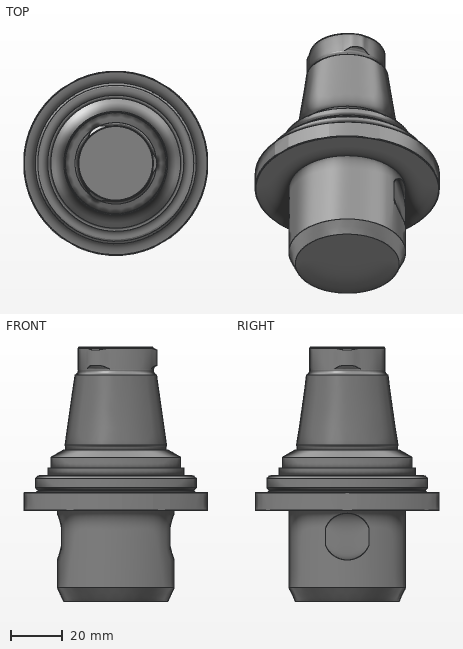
import cadquery as cq
import math

shank_radius = 45 / 2
shank_end_radius = 20.0
shank_cone_angle = 25
shank_cone_height = (shank_radius - shank_end_radius) / math.tan(math.radians(shank_cone_angle))

recess_diameter = 18.0
recess_height = 25.0
recess_floor_x = 20.9

flange_radius = 71 / 2
flange_bottom = 35.0
flange_top = 42.0
flange_edge_chamfer = 0.3
wide_flat_distance = 70.6 / 2
wide_flat_angles = range(0, 360, 60)
narrow_flat_distance = 70.82 / 2
narrow_flat_angles = [90, 270]

groove_radius = 60.1 / 2
ring_radius = 62 / 2
ring_chamfer = ring_radius - groove_radius
ring_bottom = 42.9
ring_top = 48.45
ring_top_bevel_width = 0.6
ring_top_bevel_height = 0.15
groove_foot_chamfer = 0.6

lower_step_radius = 52.4 / 2
lower_step_top = 51.5
upper_step_radius = 50 / 2
upper_step_top = 55.5
shoulder_cone_top = 58.4

shoulder_cone_radius = 20.0
relief_radius = 19.3
relief_top = 59.4
taper_bottom = 60.2
taper_bottom_radius = 19.55
taper_top_radius = 15.7

neck_height = 89.05
neck_radius = 2.0
neck_ring_radius = 16.45
taper_top = neck_height - math.sqrt(neck_radius**2 - (neck_ring_radius - taper_top_radius) ** 2)

total_height = 98.0
head_radius = 14.5
head_chamfer_width = 0.3
head_chamfer_height = 0.5
lobe_count = 3
lobe_tip_distance = 15.9
lobe_radius = 5.0
lobe_flank_radius = 10.0
lobe_top_angle = 25
lobe_envelope_margin = 1.0


def make_body():
    """Revolve the whole round profile around Z."""
    profile = (
        cq.Workplane("XZ")
        .moveTo(0, 0)
        .lineTo(shank_end_radius, 0)
        .lineTo(shank_radius, shank_cone_height)
        .lineTo(shank_radius, flange_bottom)
        .lineTo(flange_radius - flange_edge_chamfer, flange_bottom)
        .lineTo(flange_radius, flange_bottom + flange_edge_chamfer)
        .lineTo(flange_radius, flange_top - flange_edge_chamfer)
        .lineTo(flange_radius - flange_edge_chamfer, flange_top)
        .lineTo(groove_radius + groove_foot_chamfer, flange_top)
        .lineTo(groove_radius, flange_top + groove_foot_chamfer)
        .lineTo(groove_radius, ring_bottom)
        .lineTo(ring_radius, ring_bottom + ring_chamfer)
        .lineTo(ring_radius, ring_top - ring_top_bevel_height - ring_chamfer)
        .lineTo(ring_radius - ring_chamfer, ring_top - ring_top_bevel_height)
        .lineTo(ring_radius - ring_chamfer - ring_top_bevel_width, ring_top)
        .lineTo(lower_step_radius, ring_top)
        .lineTo(lower_step_radius, lower_step_top)
        .lineTo(upper_step_radius, lower_step_top)
        .lineTo(upper_step_radius, upper_step_top)
        .lineTo(shoulder_cone_radius, shoulder_cone_top)
        .lineTo(relief_radius, shoulder_cone_top)
        .lineTo(relief_radius, relief_top)
        .lineTo(taper_bottom_radius, taper_bottom)
        .lineTo(taper_top_radius, taper_top)
        .lineTo(taper_top_radius, neck_height)
        .lineTo(head_radius, neck_height)
        .lineTo(head_radius, total_height - head_chamfer_height)
        .lineTo(head_radius - head_chamfer_width, total_height)
        .lineTo(0, total_height)
        .close()
    )
    return profile.revolve(360, (0, 0, 0), (0, 1, 0))


def make_lobe_prism():
    """Plan of the +X lobe: a round tip running into the head through concave flanks."""
    tip_center = lobe_tip_distance - lobe_radius
    head_to_flank = head_radius + lobe_flank_radius
    tip_to_flank = lobe_radius + lobe_flank_radius
    flank_angle = math.acos(
        (head_to_flank**2 + tip_center**2 - tip_to_flank**2) / (2 * head_to_flank * tip_center)
    )
    flank_x = head_to_flank * math.cos(flank_angle)
    flank_y = head_to_flank * math.sin(flank_angle)
    root_x = head_radius * math.cos(flank_angle)
    root_y = head_radius * math.sin(flank_angle)
    blend_x = tip_center + (flank_x - tip_center) * lobe_radius / tip_to_flank
    blend_y = flank_y * lobe_radius / tip_to_flank

    to_chord_x = (root_x + blend_x) / 2 - flank_x
    to_chord_y = (root_y + blend_y) / 2 - flank_y
    stretch = lobe_flank_radius / math.hypot(to_chord_x, to_chord_y)
    flank_mid_x = flank_x + to_chord_x * stretch
    flank_mid_y = flank_y + to_chord_y * stretch

    return (
        cq.Workplane("XY")
        .workplane(offset=neck_height)
        .moveTo(0, 0)
        .lineTo(root_x, -root_y)
        .threePointArc((flank_mid_x, -flank_mid_y), (blend_x, -blend_y))
        .threePointArc((lobe_tip_distance, 0), (blend_x, blend_y))
        .threePointArc((flank_mid_x, flank_mid_y), (root_x, root_y))
        .close()
        .extrude(total_height - neck_height)
    )


def make_lobe_envelope():
    """Solid of revolution whose top cone bevels the lobes."""
    rim_radius = lobe_tip_distance + lobe_envelope_margin
    bevel_top = total_height - head_chamfer_height
    bevel_drop = (rim_radius - head_radius) * math.tan(math.radians(lobe_top_angle))
    profile = (
        cq.Workplane("XZ")
        .moveTo(0, neck_height)
        .lineTo(rim_radius, neck_height)
        .lineTo(rim_radius, bevel_top - bevel_drop)
        .lineTo(head_radius, bevel_top)
        .lineTo(0, bevel_top)
        .close()
    )
    return profile.revolve(360, (0, 0, 0), (0, 1, 0))


def add_lobes(part):
    lobe = make_lobe_prism().intersect(make_lobe_envelope())
    for index in range(lobe_count):
        part = part.union(lobe.rotate((0, 0, 0), (0, 0, 1), index * 360 / lobe_count))
    return part


def cut_neck(part):
    """Cut the round groove that undercuts the lobes and meets the taper edge."""
    ring = (
        cq.Workplane("XZ")
        .center(neck_ring_radius, neck_height)
        .circle(neck_radius)
        .revolve(360, (-neck_ring_radius, 0, 0), (-neck_ring_radius, 1, 0))
    )
    return part.cut(ring)


def cut_rim_flat(part, distance, angle):
    cutter = (
        cq.Workplane("XY")
        .workplane(offset=flange_bottom)
        .center(distance + flange_radius / 2, 0)
        .rect(flange_radius, flange_radius)
        .extrude(flange_top - flange_bottom)
        .rotate((0, 0, 0), (0, 0, 1), angle)
    )
    return part.cut(cutter)


def cut_recesses(part):
    for side in (1, -1):
        cutter = (
            cq.Workplane("YZ", origin=(side * recess_floor_x, 0, recess_height))
            .circle(recess_diameter / 2)
            .extrude(side * shank_radius)
        )
        part = part.cut(cutter)
    return part


result = make_body()
result = add_lobes(result)
result = cut_neck(result)
for flat_angle in wide_flat_angles:
    result = cut_rim_flat(result, wide_flat_distance, flat_angle)
for flat_angle in narrow_flat_angles:
    result = cut_rim_flat(result, narrow_flat_distance, flat_angle)
result = cut_recesses(result)